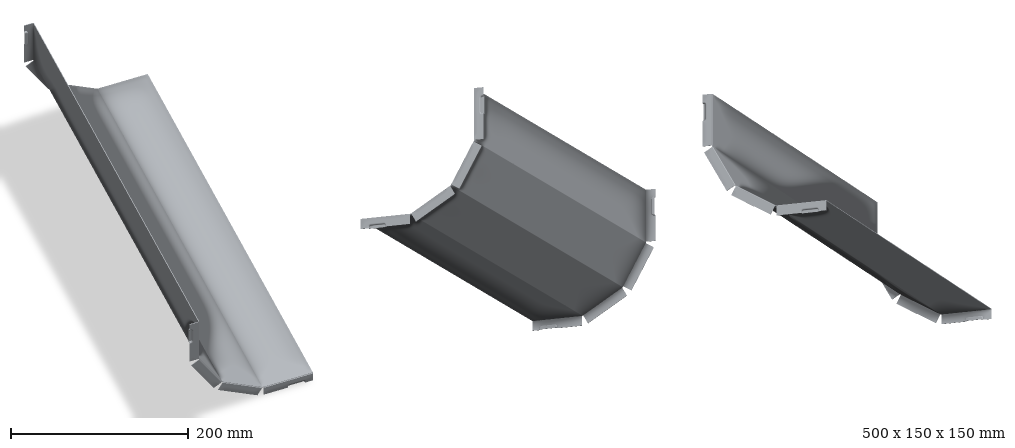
import cadquery as cq
import math

LENGTH = 500.0
SPAN = 150.0

SHEET = 0.8
INNER_RADIUS = 0.1
OUTER_RADIUS = INNER_RADIUS + SHEET
FLANGE_DEPTH = 12.0
FOLD_ANGLE = math.radians(30)
OUTER_PANEL = 61.0

RECESS_FROM_FREE_EDGE = 20.0
RECESS_LENGTH = 20.0
RECESS_WIDTH = 3.5
RECESS_DEPTH = 2.5
RECESS_CORNER = 2.0
RECESS_FLOOR_FILLET = 0.5
RECESS_MOUTH_FILLET = 1.5

HALF_LENGTH = LENGTH / 2
HALF_SPAN = SPAN / 2
FACE = FLANGE_DEPTH - HALF_SPAN
OUTER_FOLD = HALF_SPAN - OUTER_PANEL
MIDDLE_PANEL = (OUTER_FOLD - FACE) / (math.sin(FOLD_ANGLE) + math.cos(FOLD_ANGLE))
MIDDLE_FOLD = FACE + MIDDLE_PANEL * math.sin(FOLD_ANGLE)
UPRIGHT_EDGE = (FACE, HALF_SPAN)
UPPER_FOLD = (FACE, OUTER_FOLD)
CENTRE_FOLD = (MIDDLE_FOLD, MIDDLE_FOLD)
LOWER_FOLD = (OUTER_FOLD, FACE)
FLAT_EDGE = (HALF_SPAN, FACE)

BACK = FACE - SHEET
BACK_FOLD = OUTER_FOLD - SHEET * math.tan(FOLD_ANGLE / 2)
CENTRE_SHIFT = SHEET / math.cos(FOLD_ANGLE / 2)
BACK_CENTRE = MIDDLE_FOLD - CENTRE_SHIFT * math.sqrt(0.5)
BACK_FOLDS = [(BACK_FOLD, BACK), (BACK_CENTRE, BACK_CENTRE), (BACK, BACK_FOLD)]

FOLD_RELIEF = 0.75


def round_folds(sheet, folds, radius):
    """Round the long edges of the sheet that run through the given (y, z) points."""
    reach = SHEET / 4
    for y, z in folds:
        low = (-LENGTH, y - reach, z - reach)
        high = (LENGTH, y + reach, z + reach)
        sheet = sheet.edges(cq.selectors.BoxSelector(low, high)).fillet(radius)
    return sheet


def folded_panels():
    """Four flat panels joined by three folds, ending where the flange bends begin."""
    outline = [UPRIGHT_EDGE, UPPER_FOLD, CENTRE_FOLD, LOWER_FOLD, FLAT_EDGE]
    outline += [(HALF_SPAN, BACK), *BACK_FOLDS, (BACK, HALF_SPAN)]
    sheet = cq.Workplane("YZ").polyline(outline).close().extrude(HALF_LENGTH - OUTER_RADIUS, both=True)
    sheet = round_folds(sheet, [UPPER_FOLD, CENTRE_FOLD, LOWER_FOLD], INNER_RADIUS)
    return round_folds(sheet, BACK_FOLDS, OUTER_RADIUS)


def end_flange(start, end, relief_at_start, relief_at_end):
    """Bend and flange at the -X end of the panel whose concave face runs from start to end."""
    run = math.dist(start, end)
    along_y = (end[0] - start[0]) / run
    along_z = (end[1] - start[1]) / run
    origin = (-HALF_LENGTH, start[0] + along_y * relief_at_start, start[1] + along_z * relief_at_start)
    section = cq.Workplane(cq.Plane(origin, xDir=(1, 0, 0), normal=(0, along_y, along_z)))
    return (
        section.moveTo(OUTER_RADIUS, 0)
        .radiusArc((0, OUTER_RADIUS), -OUTER_RADIUS)
        .lineTo(0, FLANGE_DEPTH)
        .lineTo(SHEET, FLANGE_DEPTH)
        .lineTo(SHEET, OUTER_RADIUS)
        .radiusArc((OUTER_RADIUS, SHEET), INNER_RADIUS)
        .close()
        .extrude(run - relief_at_start - relief_at_end)
    )


def recess_form(growth):
    """Rounded block of the upright recess, larger by growth on every closed side."""
    width = RECESS_WIDTH + growth
    centre = (-HALF_LENGTH, -HALF_SPAN + width / 2, HALF_SPAN - RECESS_FROM_FREE_EDGE)
    return (
        cq.Workplane("YZ", origin=centre)
        .rect(width, RECESS_LENGTH + 2 * growth)
        .extrude(RECESS_DEPTH + growth)
        .edges("|X and >Y")
        .fillet(RECESS_CORNER + growth)
        .faces(">X")
        .edges("not <Y")
        .fillet(RECESS_FLOOR_FILLET + growth)
    )


def upright_flange():
    """Flange of the upright outer panel with its pressed recess."""
    flange = end_flange(UPRIGHT_EDGE, UPPER_FOLD, 0, FOLD_RELIEF)
    pressed = flange.union(recess_form(SHEET)).cut(recess_form(0))
    reach = RECESS_LENGTH / 2 + SHEET
    recess_z = HALF_SPAN - RECESS_FROM_FREE_EDGE
    low = (-HALF_LENGTH - SHEET / 2, -HALF_SPAN + SHEET / 2, recess_z - reach)
    high = (-HALF_LENGTH + SHEET / 2, -HALF_SPAN + RECESS_WIDTH + SHEET, recess_z + reach)
    return pressed.edges(cq.selectors.BoxSelector(low, high)).fillet(RECESS_MOUTH_FILLET)


upper_flanges = upright_flange().union(end_flange(UPPER_FOLD, CENTRE_FOLD, FOLD_RELIEF, FOLD_RELIEF))

lower_flanges = upper_flanges.rotate((0, 0, 0), (0, 1, 1), 180).mirror("YZ")
near_flanges = upper_flanges.union(lower_flanges)

result = folded_panels().union(near_flanges).union(near_flanges.mirror("YZ"))